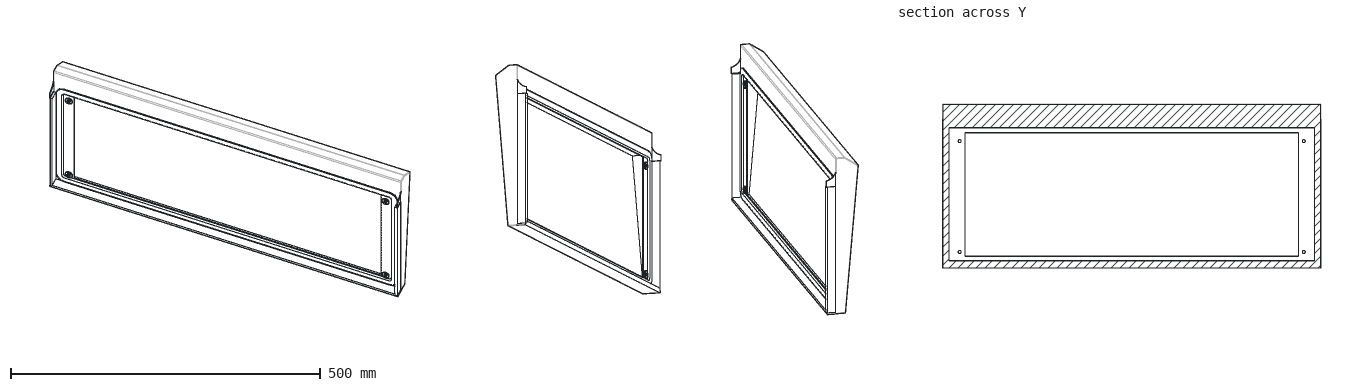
import cadquery as cq
import math

LENGTH = 610.0
DEPTH = 53.5
HEIGHT = 265.0

FACE_Y = 15.0
BOTTOM_BACK_Y = 32.5
BACK_TOP_Z = 249.5
CREST_BACK_Y = 30.5
EDGE_ROUND = 2.0
END_ROUND = 1.0

RIM_WIDTH = 5.0
RIM_BASE_HEIGHT = 7.0
RIM_TOP_Z = 227.0
RIM_RUNOUT_Z = 240.0
RIM_RUNOUT_SAG = 2.0
EAR_BASE_Z = 216.5
EAR_WIDTH = 1.0
RIM_RELIEF = 0.5
RIM_RELIEF_START_Z = 3.0
CREST_DROP = 2.0
CREST_BULGE = 0.3

RIM_BACK_Y = FACE_Y + END_ROUND

FRAME_SIDE = 6.0
FRAME_BOTTOM_Z = 8.0
FRAME_TOP_Z = 230.5
FRAME_CORNER = 14.5
FRAME_RAISE = 2.0
STRIP_SETBACK = 3.0
STRIP_THICKNESS = 2.0
WINDOW_SIDE = 16.0
WINDOW_BOTTOM_Z = 17.5
WINDOW_TOP_Z = 220.0
WINDOW_CORNER = 5.5
WINDOW_SLOPE = 2.0
STRIP_INNER_X = 36.0
FRAME_FRONT_Y = FACE_Y - FRAME_RAISE
STRIP_FRONT_Y = FRAME_FRONT_Y + STRIP_SETBACK
FRAME_BACK_Y = STRIP_FRONT_Y + STRIP_THICKNESS

BACK_WALL = 6.0
LEDGE_WIDTH = 4.0

SCREW_X = 27.5
SCREW_LOW_Z = 26.0
SCREW_HIGH_Z = 205.0
HEAD_RADIUS = 6.0
HEAD_HEIGHT = 2.0
SOCKET_RADIUS = 2.5
SOCKET_DEPTH = 1.0
SHANK_RADIUS = 2.5
SCREW_PLACES = [(x, z) for x in (SCREW_X, LENGTH - SCREW_X) for z in (SCREW_LOW_Z, SCREW_HIGH_Z)]


def block(x0, x1, y0, y1, z0, z1):
    """Axis-aligned box between two corners."""
    return cq.Workplane("XY").box(x1 - x0, y1 - y0, z1 - z0, centered=False).translate((x0, y0, z0))


def rounded_block(margin, y0, y1, z0, z1, radius):
    """Box centred along the length, with its four Y edges rounded."""
    return block(margin, LENGTH - margin, y0, y1, z0, z1).edges("|Y").fillet(radius)


def disc(x, z, radius, y0, y1):
    """Cylinder along Y."""
    return cq.Workplane("XZ", origin=(x, y0, z)).circle(radius).extrude(y0 - y1)


def rim_outline():
    """Side outline of the forward rim, ending in a concave arc at the top."""
    arc_middle = (FACE_Y / 2 + RIM_RUNOUT_SAG, (RIM_TOP_Z + RIM_RUNOUT_Z) / 2 - RIM_RUNOUT_SAG)
    return (
        cq.Workplane("YZ")
        .moveTo(0, 0)
        .lineTo(RIM_BACK_Y, 0)
        .lineTo(RIM_BACK_Y, RIM_RUNOUT_Z)
        .lineTo(FACE_Y, RIM_RUNOUT_Z)
        .threePointArc(arc_middle, (0, RIM_TOP_Z))
        .close()
    )


def rim_side_cutter():
    """Material removed from the left side of the rim: a shallow outer step and the rounded crest."""
    crest_middle = ((RIM_RELIEF + RIM_WIDTH) / 2, CREST_DROP / 2 - CREST_BULGE)
    return (
        cq.Workplane("XY", origin=(0, 0, RIM_RELIEF_START_Z))
        .moveTo(0, 0)
        .lineTo(RIM_WIDTH, 0)
        .threePointArc(crest_middle, (RIM_RELIEF, CREST_DROP))
        .lineTo(RIM_RELIEF, FACE_Y)
        .lineTo(0, FACE_Y)
        .close()
        .extrude(EAR_BASE_Z - RIM_RELIEF_START_Z)
    )


def rim_bottom_cutter():
    """Material removed below the rounded crest of the bottom rim."""
    middle = (CREST_DROP / 2 - CREST_BULGE, RIM_BASE_HEIGHT / 2)
    return (
        cq.Workplane("YZ")
        .moveTo(0, 0)
        .lineTo(0, RIM_BASE_HEIGHT)
        .threePointArc(middle, (CREST_DROP, 0))
        .close()
        .extrude(LENGTH)
    )


def make_rim():
    rim = rim_outline().extrude(LENGTH)
    rim = rim.cut(block(RIM_WIDTH, LENGTH - RIM_WIDTH, 0, RIM_BACK_Y, RIM_BASE_HEIGHT, HEIGHT))
    rim = rim.cut(block(EAR_WIDTH, LENGTH - EAR_WIDTH, 0, RIM_BACK_Y, EAR_BASE_Z, HEIGHT))
    left_cutter = rim_side_cutter()
    right_cutter = left_cutter.mirror("YZ").translate((LENGTH, 0, 0))
    return rim.cut(left_cutter).cut(right_cutter).cut(rim_bottom_cutter())


def make_wedge():
    wedge = (
        cq.Workplane("YZ")
        .polyline([
            (FACE_Y, 0),
            (BOTTOM_BACK_Y, 0),
            (DEPTH, BACK_TOP_Z),
            (CREST_BACK_Y, HEIGHT),
            (FACE_Y, HEIGHT),
        ])
        .close()
        .extrude(LENGTH)
    )
    for y, z in ((FACE_Y, HEIGHT), (CREST_BACK_Y, HEIGHT), (BOTTOM_BACK_Y, 0)):
        long_edge = cq.selectors.NearestToPointSelector((LENGTH / 2, y, z))
        wedge = wedge.edges(long_edge).fillet(EDGE_ROUND)
    return wedge.faces("<X or >X").edges().fillet(END_ROUND)


def make_cavity():
    """Space behind the frame, its floor one wall thickness in front of the back."""
    margin = FRAME_SIDE + LEDGE_WIDTH
    low_z = FRAME_BOTTOM_Z + LEDGE_WIDTH
    high_z = FRAME_TOP_Z - LEDGE_WIDTH
    back_slope = (DEPTH - BOTTOM_BACK_Y) / BACK_TOP_Z
    floor_y = BOTTOM_BACK_Y - BACK_WALL
    return (
        cq.Workplane("YZ", origin=(margin, 0, 0))
        .polyline([
            (FACE_Y, low_z),
            (floor_y + back_slope * low_z, low_z),
            (floor_y + back_slope * high_z, high_z),
            (FACE_Y, high_z),
        ])
        .close()
        .extrude(LENGTH - 2 * margin)
    )


def make_housing():
    seat = rounded_block(FRAME_SIDE, FACE_Y, FRAME_BACK_Y, FRAME_BOTTOM_Z, FRAME_TOP_Z, FRAME_CORNER)
    return make_wedge().union(make_rim()).cut(seat).cut(make_cavity())


def make_frame():
    """Rounded frame with a set-back screw strip at each end of its window."""
    frame = rounded_block(
        FRAME_SIDE, FRAME_FRONT_Y, FRAME_BACK_Y, FRAME_BOTTOM_Z, FRAME_TOP_Z, FRAME_CORNER
    )
    recess = (
        cq.Workplane("XZ", origin=(LENGTH / 2, FRAME_FRONT_Y, (WINDOW_BOTTOM_Z + WINDOW_TOP_Z) / 2))
        .sketch()
        .rect(LENGTH - 2 * WINDOW_SIDE, WINDOW_TOP_Z - WINDOW_BOTTOM_Z)
        .vertices()
        .fillet(WINDOW_CORNER)
        .finalize()
        .extrude(-STRIP_SETBACK, taper=math.degrees(math.atan(WINDOW_SLOPE / STRIP_SETBACK)))
    )
    window = block(
        STRIP_INNER_X,
        LENGTH - STRIP_INNER_X,
        FRAME_FRONT_Y,
        FRAME_BACK_Y,
        WINDOW_BOTTOM_Z + WINDOW_SLOPE,
        WINDOW_TOP_Z - WINDOW_SLOPE,
    )
    frame = frame.cut(recess).cut(window)
    for x, z in SCREW_PLACES:
        frame = frame.cut(disc(x, z, SHANK_RADIUS, STRIP_FRONT_Y, FRAME_BACK_Y))
    return frame


def make_screw(x, z):
    """Screw with a socketed head on the strip and a shank through it."""
    head_front_y = STRIP_FRONT_Y - HEAD_HEIGHT
    head = disc(x, z, HEAD_RADIUS, head_front_y, STRIP_FRONT_Y)
    shank = disc(x, z, SHANK_RADIUS, STRIP_FRONT_Y, FRAME_BACK_Y)
    socket = disc(x, z, SOCKET_RADIUS, head_front_y, head_front_y + SOCKET_DEPTH)
    return head.union(shank).cut(socket)


housing = make_housing()
frame = make_frame()
screws = [make_screw(x, z) for x, z in SCREW_PLACES]

result = cq.Compound.makeCompound([housing.val(), frame.val(), *[screw.val() for screw in screws]])